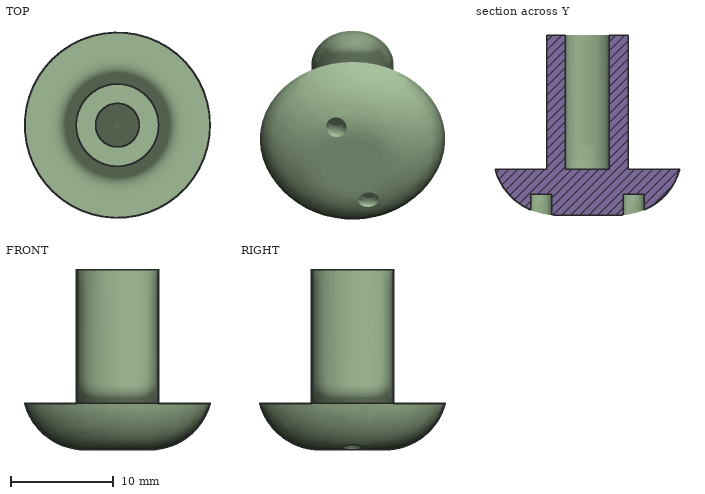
import cadquery as cq
import math

head_diameter = 18.0
head_height = 4.5
total_height = 17.5
shaft_diameter = 8.0

bore_diameter = 4.23
bore_depth = total_height - head_height

flat_radius = 3.11

spanner_hole_diameter = 2.0
spanner_hole_spacing = 9.0
spanner_hole_depth = 2.0


def make_head():
    """Revolve the domed head, with its flat underside at Z = 0."""
    rim_radius = head_diameter / 2
    arc_width = rim_radius - flat_radius
    arc_radius = (arc_width**2 + head_height**2) / (2 * head_height)
    half_sweep = math.atan2(head_height, arc_width)
    arc_middle = (
        flat_radius + arc_radius * math.sin(half_sweep),
        arc_radius * (1 - math.cos(half_sweep)),
    )
    return (
        cq.Workplane("XZ")
        .lineTo(flat_radius, 0)
        .threePointArc(arc_middle, (rim_radius, head_height))
        .lineTo(0, head_height)
        .close()
        .revolve(360, (0, 0, 0), (0, 1, 0))
    )


def make_shaft():
    """Make the solid shaft standing on the head's flat face."""
    return (
        cq.Workplane("XY", origin=(0, 0, head_height))
        .circle(shaft_diameter / 2)
        .extrude(total_height - head_height)
    )


def make_bore():
    """Make the cutter for the blind bore, entering at the shaft's top."""
    return (
        cq.Workplane("XY", origin=(0, 0, total_height))
        .circle(bore_diameter / 2)
        .extrude(-bore_depth)
    )


def make_spanner_holes():
    """Make the cutters for the two holes, on opposite sides of the axis along X."""
    hole_offset = spanner_hole_spacing / 2
    return (
        cq.Workplane("XY")
        .pushPoints([(-hole_offset, 0), (hole_offset, 0)])
        .circle(spanner_hole_diameter / 2)
        .extrude(spanner_hole_depth)
    )


result = make_head().union(make_shaft()).cut(make_bore()).cut(make_spanner_holes())